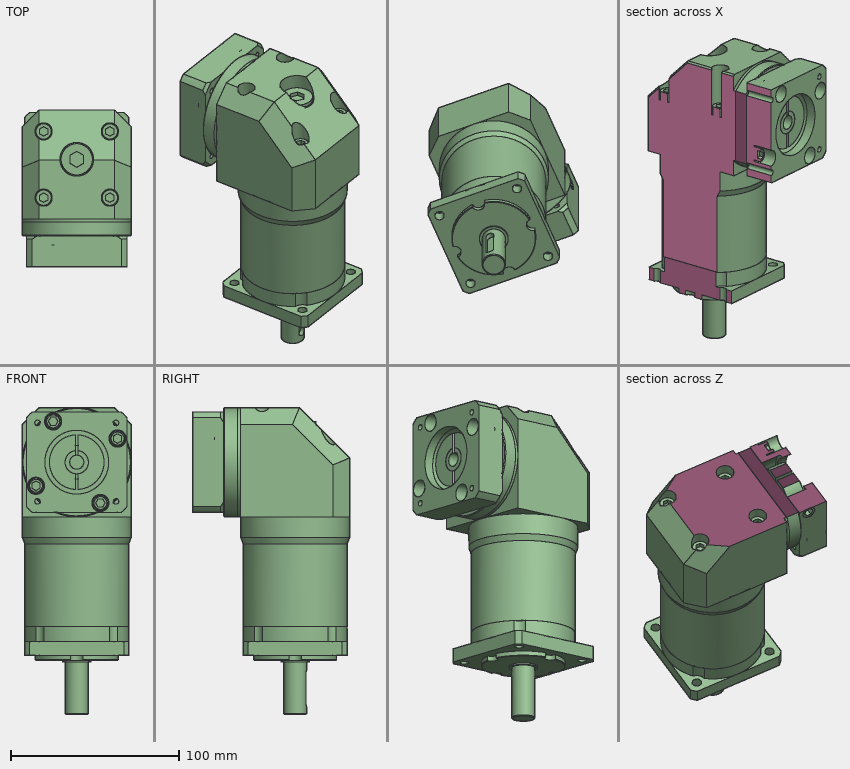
import cadquery as cq
import math


block_side = 65.0
half_block = block_side / 2
back_bevel = 30.0
edge_bevel = 10.0
collar_height = 12.2
cone_height = 3.8
tube_radius = 31.0
tube_height = 49.1
mating_step = 1.8

screw_offset = 19.7
screw_hole_radius = 5.1
screw_hole_floor = 2.7
screw_head_gap = 0.5
screw_head_height = 5.5
screw_hex_width = 5.0
screw_hex_depth = 2.7
hex_corner_ratio = 2 / math.sqrt(3)

plug_y = 3.1
plug_hole_radius = 10.0
plug_gap = 0.7
plug_top = 24.3
plug_hole_floor = 21.9
plug_hex_width = 8.2

output_end = -150.0
output_collar_height = 9.1
flange_side = 2 * tube_radius
flange_height = 8.2
flange_corner_radius = 41.8
flange_hole_offset = 24.8
flange_hole_radius = 2.7
screw_relief_radius = 5.5
pilot_radius = 25.0
pilot_height = 3.0
pilot_groove_radius = 3.8
pilot_chamfer = 0.4
boss_radius = 8.5
boss_height = 1.0
shaft_radius = 7.0
shaft_chamfer = 0.5
keyway_width = 5.0
keyway_depth = 3.0
keyway_length = 22.3
keyway_end_gap = 4.4

input_flange_end = -42.5
input_flange_chamfer = 0.5
hub_radius = 16.2
hub_face = -55.0
hub_length = 11.3
hub_shoulder_radius = 10.0
sleeve_radius = 7.0
sleeve_rise = 0.2
motor_bore_radius = 4.2
motor_bore_depth = 18.2
hub_slot_width = 1.6

adapter_face = -61.0
adapter_side = 59.9
adapter_corner_radius = 40.0
back_cone_height = 1.8
motor_pilot_radius = 19.0
motor_pilot_depth = 6.0
chamber_radius = 20.8
motor_hole_offset = 23.4
motor_hole_radius = 1.6
adapter_screw_x = 14.0
adapter_screw_z = 24.3
adapter_screw_floor = -48.0
adapter_screw_chamfer = 0.7
adapter_screw_turn = 30
side_plug_y = -49.0
side_plug_z = 11.0
side_plug_radius = 4.0
side_plug_recess = 0.2
side_plug_hex_width = 5.0
side_plug_hex_depth = 3.6

collar_bottom = -half_block - collar_height
tube_top = collar_bottom - cone_height
tube_bottom = tube_top - tube_height
flange_top = tube_bottom - output_collar_height
pilot_top = flange_top - flange_height
boss_top = pilot_top - pilot_height
shaft_top = boss_top - boss_height
mating_y = -half_block - mating_step
back_flat_top = half_block - back_bevel


def disc_z(radius, bottom, top, x=0, y=0):
    """Upright cylinder between two Z levels."""
    return cq.Workplane("XY", origin=(x, y, bottom)).circle(radius).extrude(top - bottom)


def disc_y(radius, rear, front, x=0, z=0):
    """Cylinder along Y from the rear level to the front (lower Y) level."""
    return cq.Workplane("XZ", origin=(x, rear, z)).circle(radius).extrude(rear - front)


def square_corners(offset):
    """The four (+-offset, +-offset) points."""
    return [(sx * offset, sy * offset) for sx in (-1, 1) for sy in (-1, 1)]


def hex_prism(width, depth):
    """Hexagonal prism on +Z with two corners on the Y axis; width is measured across flats."""
    prism = cq.Workplane("XY").polygon(6, width * hex_corner_ratio).extrude(depth)
    return prism.rotate((0, 0, 0), (0, 0, 1), 90)


def socket_head(radius, height, hex_width, hex_depth):
    """Round screw head standing on Z = 0 with a hexagon socket in its top."""
    head = cq.Workplane("XY").circle(radius).extrude(height)
    socket = hex_prism(hex_width, hex_depth).translate((0, 0, height - hex_depth))
    return head.cut(socket)


def make_screw_head():
    """Head shared by the housing screws and, with its rim chamfered, the adapter screws."""
    head_radius = screw_hole_radius - screw_head_gap
    return socket_head(head_radius, screw_head_height, screw_hex_width, screw_hex_depth)


def make_block():
    """Cube with its upper rear edge cut away and its side edges bevelled along the back and top."""
    profile = [
        (-half_block, -half_block),
        (half_block, -half_block),
        (half_block, back_flat_top),
        (back_flat_top, half_block),
        (-half_block, half_block),
    ]
    block = cq.Workplane("YZ", origin=(-half_block, 0, 0)).polyline(profile).close().extrude(block_side)
    sides = block.faces("<X or >X").edges()
    outline = sides.filter(lambda e: min(e.Center().y, e.Center().z) > -half_block + edge_bevel)
    return block.newObject(outline.vals()).chamfer(edge_bevel)


def make_housing():
    """Angle block with the gear tube below it, the mating step in front, four screws and a plug."""
    tube_profile = [
        (0, -half_block),
        (half_block, -half_block),
        (half_block, collar_bottom),
        (tube_radius, tube_top),
        (tube_radius, tube_bottom),
        (0, tube_bottom),
    ]
    tube = cq.Workplane("XZ").polyline(tube_profile).close().revolve(360, (0, 0, 0), (0, 1, 0))
    body = make_block().union(tube)
    body = body.union(disc_y(half_block, -half_block, mating_y))

    for x, y in square_corners(screw_offset):
        body = body.cut(disc_z(screw_hole_radius, screw_hole_floor, half_block, x, y))
        body = body.union(make_screw_head().translate((x, y, screw_hole_floor)))

    body = body.cut(disc_z(plug_hole_radius, plug_hole_floor, half_block, 0, plug_y))
    plug_height = plug_top - plug_hole_floor
    plug = socket_head(plug_hole_radius - plug_gap, plug_height, plug_hex_width, plug_height)
    return body.union(plug.translate((0, plug_y, plug_hole_floor)))


def make_output_stage():
    """Collar, square mounting flange, centring pilot, seal boss and keyed shaft."""
    body = disc_z(tube_radius, flange_top, tube_bottom)
    for x, y in square_corners(flange_hole_offset):
        body = body.cut(disc_z(screw_relief_radius, flange_top, tube_bottom, x, y))

    flange = cq.Workplane("XY", origin=(0, 0, pilot_top)).rect(flange_side, flange_side)
    flange = flange.extrude(flange_height)
    flange = flange.intersect(disc_z(flange_corner_radius, pilot_top, flange_top))
    for x, y in square_corners(flange_hole_offset):
        flange = flange.cut(disc_z(flange_hole_radius, pilot_top, flange_top, x, y))

    pilot = disc_z(pilot_radius, boss_top, pilot_top).faces("<Z").edges().chamfer(pilot_chamfer)
    for x, y in [(pilot_radius, 0), (0, pilot_radius), (-pilot_radius, 0), (0, -pilot_radius)]:
        pilot = pilot.cut(disc_z(pilot_groove_radius, boss_top, pilot_top, x, y))

    boss = disc_z(boss_radius, shaft_top, boss_top)
    shaft = disc_z(shaft_radius, output_end, shaft_top).faces("<Z").edges().chamfer(shaft_chamfer)
    keyway_z = output_end + keyway_end_gap + keyway_length / 2
    keyway = (
        cq.Workplane("XZ", origin=(0, shaft_radius, keyway_z))
        .slot2D(keyway_length, keyway_width, 90)
        .extrude(keyway_depth)
    )
    return body.union(flange).union(pilot).union(boss).union(shaft.cut(keyway))


def make_input_stage():
    """Round input flange carrying the slotted clamping hub."""
    flange = disc_y(half_block, mating_y, input_flange_end).faces("<Y").edges().chamfer(input_flange_chamfer)
    hub_rear = hub_face + hub_length
    sleeve_face = hub_face - sleeve_rise
    clamp = disc_y(hub_radius, hub_rear, hub_face)
    sleeve = disc_y(sleeve_radius, hub_rear, sleeve_face)

    slot = cq.Workplane("XZ", origin=(0, hub_rear, 0)).rect(hub_slot_width, 2 * hub_radius)
    slot = slot.extrude(hub_rear - sleeve_face)
    sleeve_slot = slot.translate((0, 0, hub_radius))
    hub = clamp.cut(slot).union(sleeve.cut(sleeve_slot))

    body = flange.union(disc_y(hub_shoulder_radius, input_flange_end, hub_rear)).union(hub)
    return body.cut(disc_y(motor_bore_radius, hub_face + motor_bore_depth, sleeve_face))


def make_adapter():
    """Square motor plate with a stepped bore, four tapped holes and four sunk screws."""
    thickness = input_flange_end - adapter_face
    plate = cq.Workplane("XZ", origin=(0, input_flange_end, 0)).rect(adapter_side, adapter_side)
    plate = plate.extrude(thickness)
    turned = disc_y(adapter_corner_radius, input_flange_end, adapter_face)
    plate = plate.intersect(turned.faces(">Y").edges().chamfer(back_cone_height))

    plate = plate.cut(disc_y(chamber_radius, input_flange_end, adapter_face + motor_pilot_depth))
    plate = plate.cut(disc_y(motor_pilot_radius, input_flange_end, adapter_face))
    for x, z in square_corners(motor_hole_offset):
        plate = plate.cut(disc_y(motor_hole_radius, input_flange_end, adapter_face, x, z))

    head = make_screw_head().edges("%CIRCLE and >Z").chamfer(adapter_screw_chamfer)
    head = head.rotate((0, 0, 0), (0, 0, 1), adapter_screw_turn).rotate((0, 0, 0), (1, 0, 0), 90)
    head = head.translate((-adapter_screw_x, adapter_screw_floor, adapter_screw_z))
    hole = disc_y(screw_hole_radius, adapter_screw_floor, adapter_face, -adapter_screw_x, adapter_screw_z)
    for angle in (0, 90, 180, 270):
        plate = plate.cut(hole.rotate((0, 0, 0), (0, 1, 0), angle))
        plate = plate.union(head.rotate((0, 0, 0), (0, 1, 0), angle))

    plug_seat = cq.Workplane("YZ", origin=(-adapter_side / 2, side_plug_y, side_plug_z))
    plate = plate.cut(plug_seat.circle(side_plug_radius).extrude(side_plug_recess))
    socket = plug_seat.polygon(6, side_plug_hex_width * hex_corner_ratio).extrude(side_plug_hex_depth)
    return plate.cut(socket)


housing = make_housing()
output_stage = make_output_stage()
input_stage = make_input_stage()
adapter = make_adapter()

result = cq.Compound.makeCompound([housing.val(), output_stage.val(), input_stage.val(), adapter.val()])